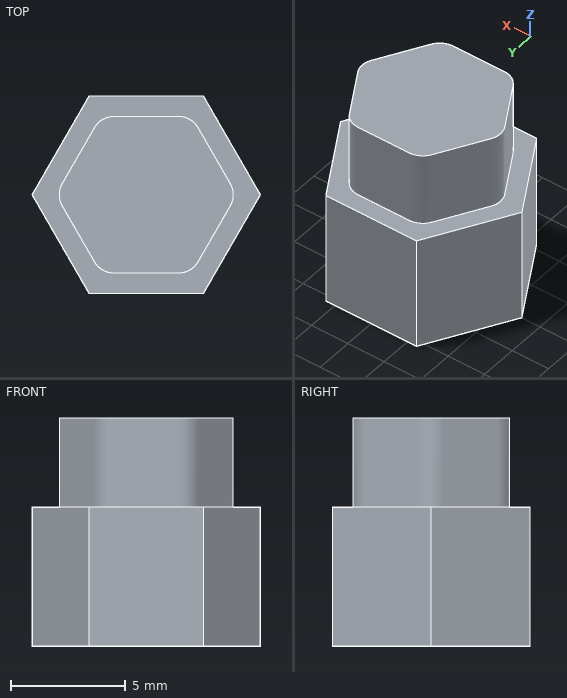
import cadquery as cq
import math

total_height = 10.0
base_corner_width = 10.0
base_height = 6.1

head_flat_width = 6.86
head_edge_radius = 1.0
head_height = total_height - base_height


def hexagonal_prism(corner_width, height, bottom):
    """Upright hexagonal prism with two corners on the X axis."""
    return cq.Workplane("XY", origin=(0, 0, bottom)).polygon(6, corner_width).extrude(height)


base = hexagonal_prism(base_corner_width, base_height, 0)

head_corner_width = head_flat_width / math.cos(math.radians(30))
head = hexagonal_prism(head_corner_width, head_height, base_height)
head = head.edges("|Z").fillet(head_edge_radius)

result = base.union(head)